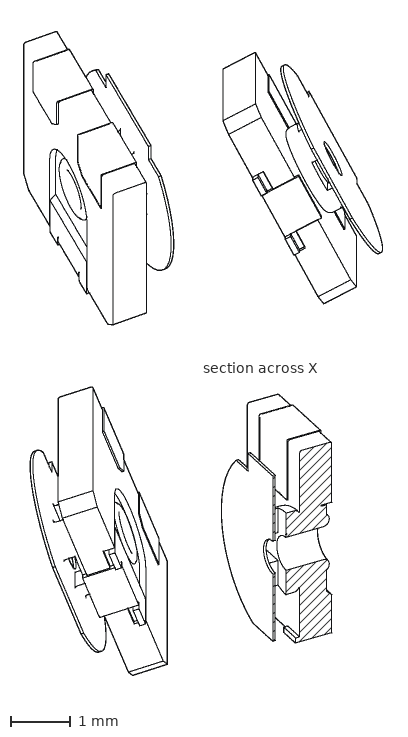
import cadquery as cq
import math


housing_width = 3.6
housing_thickness = 0.625
housing_top = 1.94
housing_bottom = -1.755
corner_cut_width = 0.205
corner_cut_height = 0.215
top_edge_radius = 0.05

sheet_thickness = 0.105
recess_width = 1.5
contact_width = 1.475
recess_depth = 2 * sheet_thickness
step_bottom = -1.055
step_top = step_bottom + sheet_thickness
foot_bottom = -1.903
bent_tab_top = -1.695
bent_tab_bottom = bent_tab_top - sheet_thickness
bent_tab_width = 0.82
bent_tab_reach = 0.703
relief_slit_width = 0.015

bore_diameter = 0.635
rim_tube_radius = 0.125
rim_ring_radius = bore_diameter / 2 + rim_tube_radius
rim_center_depth = 0.17

pad_width = 0.955
pad_inner_x = 0.398
pad_corner_cut = 0.193
pad_top_cover = 0.015
pad_edge_radius = 0.03
pad_back_cover = 0.02
left_pad_front_cover = 0.03
right_pad_front_cover = 0.015
left_pad_bottom = 1.155
right_pad_bottom = 1.058
pad_back_bottom = 0.772

cup_diameter = 1.6
cup_edge_radius = 0.105
window_floor_y = 0.885
window_width = 0.55

disc_diameter = 3.55
disc_thickness = 0.05
disc_back_y = 1.14
disc_front_y = disc_back_y - disc_thickness
disc_shoulder_z = 1.245
disc_tab_width = 1.715
disc_tab_top = 1.595
disc_bottom = -1.635


def block(x_range, y_range, z_range):
    """Box between pairs of coordinates along X, Y and Z."""
    x0, x1 = x_range
    y0, y1 = y_range
    z0, z1 = z_range
    return cq.Workplane("XY").box(x1 - x0, y1 - y0, z1 - z0, centered=False).translate((x0, y0, z0))


def centered_block(width, y_range, z_range):
    """Box symmetric about X = 0."""
    return block((-width / 2, width / 2), y_range, z_range)


def plane_at(y):
    """XZ sketch plane at the given Y; a negative extrusion goes towards +Y."""
    return cq.Workplane("XZ", origin=(0, y, 0))


def cylinder(diameter, y0, y1):
    """Cylinder about the rotor axis from y0 to y1."""
    return plane_at(y0).circle(diameter / 2).extrude(y0 - y1)


def arched_plate(width, bottom, y0, y1):
    """Plate with a straight lower part and a half-round top about the rotor axis."""
    radius = width / 2
    return (
        plane_at(y0)
        .moveTo(-radius, bottom)
        .lineTo(-radius, 0)
        .threePointArc((0, radius), (radius, 0))
        .lineTo(radius, bottom)
        .close()
        .extrude(y0 - y1)
    )


def make_housing():
    """Block with two cut corners, rounded top edges and the contact recess."""
    half = housing_width / 2
    body = (
        plane_at(0)
        .moveTo(-half, housing_top)
        .lineTo(half, housing_top)
        .lineTo(half, housing_bottom + corner_cut_height)
        .lineTo(half - corner_cut_width, housing_bottom)
        .lineTo(-half + corner_cut_width, housing_bottom)
        .lineTo(-half, housing_bottom + corner_cut_height)
        .close()
        .extrude(-housing_thickness)
    )
    body = body.faces(">Z").edges("|X").fillet(top_edge_radius)
    return body.cut(arched_plate(recess_width, housing_bottom, 0, recess_depth))


def make_pad(side, front_cover, front_bottom):
    """Pad wrapped over the top edge; side is -1 for the -X pad and +1 for the +X pad."""
    inner_x = side * pad_inner_x
    outer_x = side * (pad_inner_x + pad_width)
    x_range = (min(inner_x, outer_x), max(inner_x, outer_x))
    pad_top = housing_top + pad_top_cover
    pad_back = housing_thickness + pad_back_cover
    pad = block(x_range, (-front_cover, pad_back), (pad_back_bottom, pad_top))
    pad = pad.faces(">Z").edges("|X").fillet(pad_edge_radius)
    below_front = block(x_range, (-front_cover, 0), (pad_back_bottom, front_bottom))
    corner = (
        plane_at(-front_cover)
        .moveTo(inner_x, front_bottom)
        .lineTo(inner_x, front_bottom + pad_corner_cut)
        .lineTo(inner_x + side * pad_corner_cut, front_bottom)
        .close()
        .extrude(-front_cover)
    )
    return pad.cut(below_front).cut(corner)


def make_contact():
    """Sheet stepping forward to the housing front, with two feet and a tab bent back below."""
    plate = arched_plate(contact_width, bent_tab_top, sheet_thickness, recess_depth)
    half = contact_width / 2
    front_leaf = (
        cq.Workplane("YZ", origin=(-half, 0, 0))
        .moveTo(0, foot_bottom)
        .lineTo(0, step_bottom)
        .lineTo(sheet_thickness, step_top)
        .lineTo(recess_depth, step_top)
        .lineTo(sheet_thickness, step_bottom)
        .lineTo(sheet_thickness, foot_bottom)
        .close()
        .extrude(contact_width)
    )
    gap_width = bent_tab_width + 2 * relief_slit_width
    foot_gap = centered_block(gap_width, (0, sheet_thickness), (foot_bottom, bent_tab_top))
    bent_tab = centered_block(bent_tab_width, (0, bent_tab_reach), (bent_tab_bottom, bent_tab_top))
    return plate.union(front_leaf.cut(foot_gap)).union(bent_tab)


def make_eyelet_rim():
    """Rolled rim: a torus sunk into the contact sheet, its throat tangent to the bore."""
    return (
        cq.Workplane("XY")
        .moveTo(rim_ring_radius, rim_center_depth)
        .circle(rim_tube_radius)
        .revolve(360, (0, 0), (0, 1))
    )


def make_cup():
    """Round cup with a flared neck, split into four legs by two crossing windows."""
    cup_radius = cup_diameter / 2
    flare = disc_thickness
    diagonal = math.sqrt(0.5)
    cup = (
        cq.Workplane("XY")
        .moveTo(0, housing_thickness)
        .lineTo(cup_radius - cup_edge_radius, housing_thickness)
        .threePointArc(
            (
                cup_radius - cup_edge_radius * (1 - diagonal),
                housing_thickness + cup_edge_radius * (1 - diagonal),
            ),
            (cup_radius, housing_thickness + cup_edge_radius),
        )
        .lineTo(cup_radius, disc_front_y - flare)
        .threePointArc(
            (cup_radius + flare * (1 - diagonal), disc_front_y - flare * (1 - diagonal)),
            (cup_radius + flare, disc_front_y),
        )
        .lineTo(0, disc_front_y)
        .close()
        .revolve(360, (0, 0), (0, 1))
    )
    window_depth = (window_floor_y, disc_front_y)
    across = (-cup_diameter, cup_diameter)
    opening = (-window_width / 2, window_width / 2)
    return cup.cut(block(across, window_depth, opening)).cut(block(opening, window_depth, across))


def make_disc():
    """Disc with a flat bottom and a shouldered tab at the top."""
    disc_y = (disc_front_y, disc_back_y)
    disc = cylinder(disc_diameter, disc_front_y, disc_back_y)
    disc = disc.intersect(centered_block(disc_diameter, disc_y, (disc_bottom, disc_shoulder_z)))
    return disc.union(centered_block(disc_tab_width, disc_y, (0, disc_tab_top)))


result = (
    make_housing()
    .union(make_pad(-1, left_pad_front_cover, left_pad_bottom))
    .union(make_pad(1, right_pad_front_cover, right_pad_bottom))
    .union(make_contact())
    .union(make_cup())
    .union(make_disc())
    .cut(cylinder(2 * rim_ring_radius, 0, rim_center_depth))
    .union(make_eyelet_rim())
    .cut(cylinder(bore_diameter, 0, disc_back_y))
)